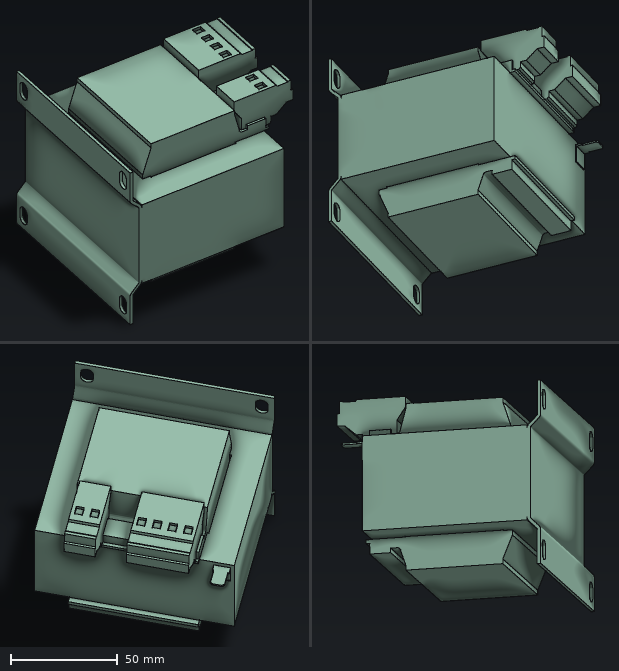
import cadquery as cq
import math


width = 96.1
core_height = 46.0
core_back = 86.8
window_start = 22.6
window_end = 70.4
window_gap = 0.8

sheet = 1.7
bracket_height = 88.8
web_offset = 5.0
flange_bend_z = 26.9
bend_radius = 0.8
slot_width = 6.0
slot_length = 9.4
slot_spacing_x = 84.0
slot_spacing_z = 72.8

coil_width = 62.6
coil_front = 18.3
coil_top_front = 23.0
coil_top_back = 70.1
coil_foot_back = 73.2
coil_foot_z = 25.4
coil_band = 2.3
upper_coil_z = 41.6
lower_coil_z = 39.0
bobbin_shift = -0.2
floor_z = 27.7
rail_z = 29.8
lip_z = 24.6
rail_front = 77.5
rail_back = 87.8
lip_back = 89.5
floor_fillet = 1.6

terminal_pitch = 15.0
terminal_top = 45.5
terminal_front = 70.7
terminal_back = 104.0
terminal_nose_top = 39.3
terminal_nose_bottom = 33.2
terminal_nose_step = 1.1
terminal_groove_z = 44.7
terminal_groove_start = 94.3
terminal_groove_end = 101.0
terminal_groove_slope = 0.8
terminal_rim = 0.4
terminal_relief_y = 74.8
terminal_relief_top = 40.1
terminal_relief_bottom = 34.2
terminal_belly_y = 100.4
terminal_heel_y = 94.6
terminal_hook_y = 91.6
terminal_hook_top = 28.4
terminal_hook_chamfer = 0.9
terminal_positions = [-1.5, -0.5, 1.5]
pocket_width = 3.7
pocket_length = 4.5
pocket_spacing = 7.5
pocket_centre_y = 88.2
pocket_depth = 1.6

tab_x = -42.2
tab_top = 20.8
tab_thickness = 0.9
tab_base_width = 8.1
tab_base_end = 90.0
tab_blade_width = 6.9
tab_blade_end = 98.0
tab_chamfer = 0.9
tab_strap_bottom = 11.4
tab_strap_thickness = 0.5


def extrude_across(points, length, centre_x=0.0):
    """Closed (Y, Z) outline extruded along X, centred on centre_x."""
    plane = cq.Workplane("YZ", origin=(centre_x - length / 2, 0, 0))
    return plane.polyline(points).close().extrude(length)


def make_core():
    web_inner = web_offset + sheet
    core = cq.Workplane("XY").box(width, core_back - web_inner, core_height, centered=(True, False, True))
    core = core.translate((0, web_inner, 0))
    slit_x = (coil_width + window_gap) / 2
    slits = (
        cq.Workplane("XY")
        .pushPoints([(side * slit_x, (window_start + window_end) / 2) for side in (-1, 1)])
        .rect(window_gap, window_end - window_start)
        .extrude(core_height, both=True)
    )
    return core.cut(slits)


def make_bracket():
    half = bracket_height / 2
    corner_shift = sheet * math.tan(math.radians(22.5))
    outer = [(0, flange_bend_z), (web_offset, flange_bend_z - web_offset)]
    inner = [(y + sheet, z + corner_shift) for y, z in outer]
    upper = [(0, half)] + outer
    lower = [(y, -z) for y, z in reversed(upper)]
    inner_upper = [(sheet, half)] + inner
    inner_lower = [(y, -z) for y, z in reversed(inner_upper)]
    bracket = extrude_across(upper + lower + list(reversed(inner_upper + inner_lower)), width)

    bends = [
        (inner[0], bend_radius),
        (outer[0], bend_radius + sheet),
        (outer[1], bend_radius),
        (inner[1], bend_radius + sheet),
    ]
    for (y, z), radius in bends:
        for side in (-1, 1):
            corner = cq.selectors.NearestToPointSelector((0, y, side * z))
            bracket = bracket.edges("|X").edges(corner).fillet(radius)

    slots = (
        cq.Workplane("XZ")
        .rarray(slot_spacing_x, slot_spacing_z, 2, 2)
        .slot2D(slot_length, slot_width, 90)
        .extrude(-2 * sheet)
    )
    return bracket.cut(slots)


def make_coil_half(coil_z, shift):
    """Half of the coil and bobbin above the core's middle plane."""
    floor = floor_z + shift
    lip_bottom = core_height / 2
    half = extrude_across(
        [
            (coil_front, 0),
            (coil_front, coil_foot_z),
            (coil_top_front, coil_z - coil_band),
            (coil_top_front, coil_z),
            (coil_top_back, coil_z),
            (coil_top_back, coil_z - coil_band),
            (coil_foot_back, floor),
            (rail_front, floor),
            (rail_front, rail_z + shift),
            (rail_back, rail_z + shift),
            (rail_back, lip_z + shift),
            (lip_back, lip_z + shift),
            (lip_back, lip_bottom),
            (core_back, lip_bottom),
            (core_back, 0),
        ],
        coil_width,
    )
    floor_corner = cq.selectors.NearestToPointSelector((0, coil_foot_back, floor))
    return half.edges("|X").edges(floor_corner).fillet(floor_fillet)


def make_coil():
    upper = make_coil_half(upper_coil_z, bobbin_shift)
    lower = make_coil_half(lower_coil_z, -bobbin_shift).mirror("XY")
    return upper.union(lower)


def make_terminal(centre_x):
    floor = floor_z + bobbin_shift
    rail = rail_z + bobbin_shift
    lip = lip_z + bobbin_shift
    upper_wall = terminal_back - terminal_nose_step
    block = extrude_across(
        [
            (terminal_front, terminal_top),
            (terminal_front, terminal_relief_top),
            (terminal_relief_y, terminal_relief_bottom),
            (terminal_relief_y, floor),
            (rail_front, floor),
            (rail_front, rail),
            (rail_back, rail),
            (rail_back, lip),
            (terminal_hook_y - terminal_hook_chamfer, lip),
            (terminal_hook_y, lip + terminal_hook_chamfer),
            (terminal_hook_y, terminal_hook_top),
            (terminal_heel_y, terminal_hook_top),
            (terminal_belly_y, terminal_nose_bottom),
            (terminal_back, terminal_nose_bottom),
            (terminal_back, terminal_nose_top),
            (upper_wall, terminal_nose_top),
            (upper_wall, terminal_groove_z + terminal_rim),
            (terminal_groove_end, terminal_groove_z + terminal_rim),
            (terminal_groove_end, terminal_groove_z),
            (terminal_groove_start + terminal_groove_slope, terminal_groove_z),
            (terminal_groove_start, terminal_top),
        ],
        terminal_pitch,
        centre_x,
    )
    pockets = (
        cq.Workplane("XY", origin=(centre_x, pocket_centre_y, terminal_top))
        .rarray(pocket_spacing, 1, 2, 1)
        .rect(pocket_width, pocket_length)
        .extrude(-pocket_depth)
    )
    return block.cut(pockets)


def make_earth_tab():
    def plate(plate_width, start, end, thickness):
        return (
            cq.Workplane("XY", origin=(tab_x, start, tab_top))
            .rect(plate_width, 2 * (end - start))
            .extrude(-thickness)
        )

    blade = plate(tab_blade_width, core_back, tab_blade_end, tab_thickness)
    blade = blade.edges("|Z").chamfer(tab_chamfer)
    base = plate(tab_base_width, core_back, tab_base_end, tab_thickness)
    strap = plate(tab_base_width, core_back, core_back + tab_strap_thickness, tab_top - tab_strap_bottom)
    return blade.union(base).union(strap)


result = make_core().union(make_bracket()).union(make_coil())
for position in terminal_positions:
    result = result.union(make_terminal(position * terminal_pitch))
result = result.union(make_earth_tab())